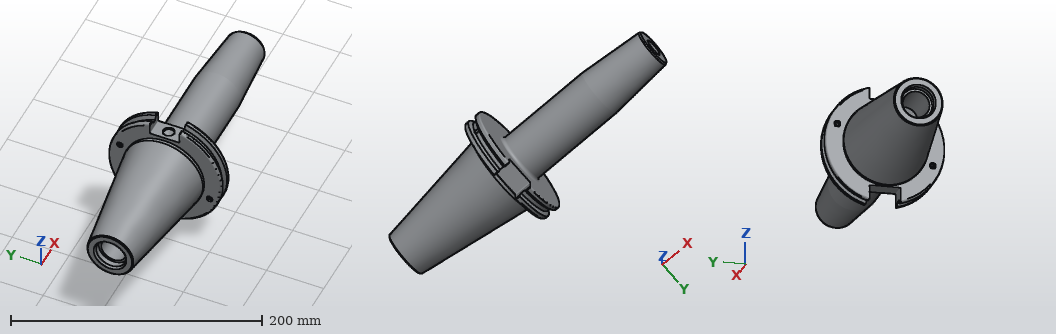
import cadquery as cq
import math

taper_length = 101.6
nose_end = 160.0
flange_start = 3.18
flange_end = 19.05

gauge_diameter = 69.85
taper_ratio = 7 / 24
taper_end_chamfer = 0.8
relief_diameter = 69.25
relief_start = 1.0

flange_diameter = 98.425
flange_rim_fillet = 1.3
groove_center = 11.1
groove_root_diameter = 91.6
groove_root_width = 3.6
groove_half_angle = 30.0

extension_diameter = 42.0
extension_fillet = 3.0
nose_diameter = 33.0
nose_half_angle = 4.5
nose_chamfer_length = 1.5
nose_chamfer_depth = 0.75

counterbore_diameter = 26.2
counterbore_chamfer_depth = 1.2
counterbore_chamfer_length = 2.2
counterbore_depth = 7.2
thread_diameter = 21.97
thread_depth = 45.0
through_diameter = 14.92
bore_cone_half_angle = 59.0

slot_width = 25.7
slot_floor_heights = {1: 37.7, -1: 35.3}
slot_corner_radius = 0.9
slot_edge_chamfer = 0.58

dimple_diameter = 9.53
dimple_depth = 2.0
dimple_tip_angle = 118.0

coolant_angle = 20.0
coolant_circle_radius = 41.8
coolant_entry_diameter = 5.0
coolant_entry_depth = 2.0
coolant_bore_diameter = 3.24
coolant_outlet_diameter = 4.2


def build_body():
    """Revolved outer shape about the X axis."""
    flange_radius = flange_diameter / 2
    rim_radius = flange_radius - flange_rim_fillet
    root_radius = groove_root_diameter / 2
    root_half = groove_root_width / 2
    mouth_half = root_half + (flange_radius - root_radius) * math.tan(math.radians(groove_half_angle))
    taper_end_radius = (gauge_diameter - taper_length * taper_ratio) / 2
    extension_radius = extension_diameter / 2
    nose_radius = nose_diameter / 2
    nose_slope = math.tan(math.radians(nose_half_angle))
    nose_start = nose_end - (extension_radius - nose_radius) / nose_slope
    taper_and_relief = [
        (-taper_length, 0),
        (-taper_length, taper_end_radius - taper_end_chamfer),
        (-taper_length + taper_end_chamfer, taper_end_radius + taper_end_chamfer * taper_ratio / 2),
        (0, gauge_diameter / 2),
        (relief_start, relief_diameter / 2),
        (flange_start, relief_diameter / 2),
        (flange_start, rim_radius),
    ]
    profile = (
        cq.Workplane("XY")
        .polyline(taper_and_relief)
        .radiusArc((flange_start + flange_rim_fillet, flange_radius), flange_rim_fillet)
        .lineTo(groove_center - mouth_half, flange_radius)
        .lineTo(groove_center - root_half, root_radius)
        .lineTo(groove_center + root_half, root_radius)
        .lineTo(groove_center + mouth_half, flange_radius)
        .lineTo(flange_end - flange_rim_fillet, flange_radius)
        .radiusArc((flange_end, rim_radius), flange_rim_fillet)
        .lineTo(flange_end, extension_radius + extension_fillet)
        .radiusArc((flange_end + extension_fillet, extension_radius), -extension_fillet)
        .lineTo(nose_start, extension_radius)
        .lineTo(nose_end - nose_chamfer_length, nose_radius + nose_chamfer_length * nose_slope)
        .lineTo(nose_end, nose_radius - nose_chamfer_depth)
        .lineTo(nose_end, 0)
        .close()
    )
    return profile.revolve(360, (0, 0, 0), (1, 0, 0))


def build_bore():
    """Counterbore, thread core, cone and through hole as one revolved cutter."""
    counterbore_radius = counterbore_diameter / 2
    thread_radius = thread_diameter / 2
    through_radius = through_diameter / 2
    cone_length = (thread_radius - through_radius) / math.tan(math.radians(bore_cone_half_angle))
    entry = -taper_length
    outline = [
        (entry, 0),
        (entry, counterbore_radius + counterbore_chamfer_depth),
        (entry + counterbore_chamfer_length, counterbore_radius),
        (entry + counterbore_depth, counterbore_radius),
        (entry + counterbore_depth, thread_radius),
        (entry + thread_depth, thread_radius),
        (entry + thread_depth + cone_length, through_radius),
        (nose_end, through_radius),
        (nose_end, 0),
    ]
    return cq.Workplane("XY").polyline(outline).close().revolve(360, (0, 0, 0), (1, 0, 0))


def build_slot(side, floor_height):
    """Drive slot on the +Z (side = 1) or -Z (side = -1) edge of the flange."""
    half_width = slot_width / 2
    top = flange_diameter / 2
    mouth_half = half_width + slot_edge_chamfer
    mouth_height = math.sqrt(top**2 - mouth_half**2)
    flare = top - mouth_height
    length = flange_end - flange_start
    slot = (
        cq.Workplane("XY", origin=((flange_start + flange_end) / 2, 0, floor_height))
        .rect(length, slot_width)
        .extrude(top - floor_height)
        .edges("|X and <Z")
        .fillet(slot_corner_radius)
    )
    edge_flare = (
        cq.Workplane("YZ", origin=(flange_start, 0, 0))
        .moveTo(-half_width, mouth_height - slot_edge_chamfer)
        .lineTo(half_width, mouth_height - slot_edge_chamfer)
        .lineTo(mouth_half + flare, top)
        .lineTo(-mouth_half - flare, top)
        .close()
        .extrude(length)
    )
    cutter = slot.union(edge_flare)
    return cutter if side > 0 else cutter.mirror("XY")


def build_dimple():
    """Drilled dimple with a conical tip, centred on the +Z slot floor."""
    radius = dimple_diameter / 2
    tip_length = radius / math.tan(math.radians(dimple_tip_angle / 2))
    floor = slot_floor_heights[1]
    return (
        cq.Workplane("XZ", origin=(groove_center, 0, 0))
        .moveTo(0, floor)
        .lineTo(radius, floor)
        .lineTo(radius, floor - dimple_depth)
        .lineTo(0, floor - dimple_depth - tip_length)
        .close()
        .revolve(360, (0, 0, 0), (0, 1, 0))
    )


def build_coolant_passage(angle):
    """Stepped axial hole from the flange face meeting a radial hole in the groove."""
    entry = cq.Workplane("YZ", origin=(flange_start, coolant_circle_radius, 0))
    passage = entry.circle(coolant_entry_diameter / 2).extrude(coolant_entry_depth)
    passage = passage.union(entry.circle(coolant_bore_diameter / 2).extrude(groove_center - flange_start))
    outlet = (
        cq.Workplane("XZ", origin=(groove_center, coolant_circle_radius, 0))
        .circle(coolant_outlet_diameter / 2)
        .extrude(-(flange_diameter / 2 - coolant_circle_radius))
    )
    return passage.union(outlet).rotate((0, 0, 0), (1, 0, 0), angle)


result = build_body().cut(build_bore())
for side, floor_height in slot_floor_heights.items():
    result = result.cut(build_slot(side, floor_height))
result = result.cut(build_dimple())
for half_turn in (0, 180):
    result = result.cut(build_coolant_passage(coolant_angle + half_turn))